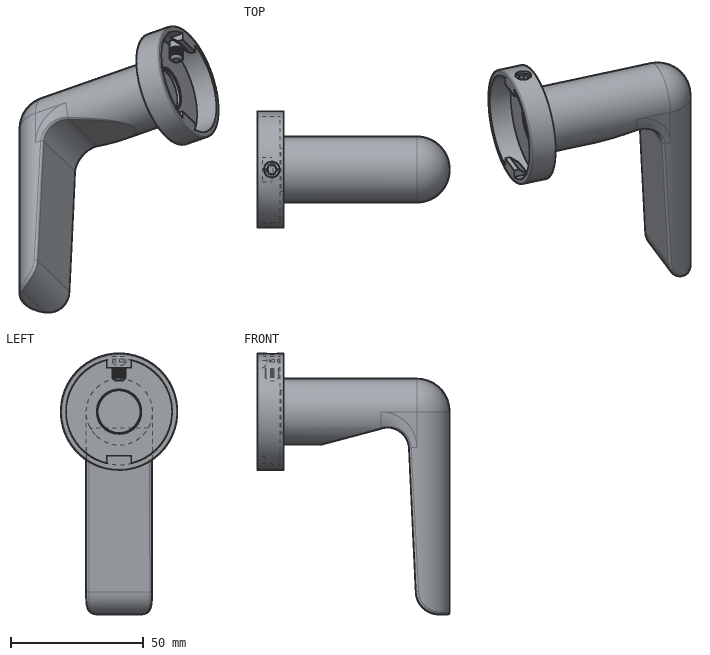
import cadquery as cq
import math

overall_length = 72.5
overall_height = 98.4
flange_diameter = 44.0
flange_thickness = 10.0
flange_edge_radius = 0.4
recess_diameter = 39.9
recess_depth = 8.5
bore_diameter = 16.0
bore_depth = 1.5
bore_chamfer = 0.4
bar_diameter = 25.0

lug_width = 9.2
lug_inner_height = 16.5
lug_tip_length = 2.0
lug_root_length = 5.9

screw_diameter = 5.2
screw_position = 5.5
screw_tip_height = 11.7
screw_tip_chamfer = 1.2
screw_recess = 1.2
thread_pitch = 0.6
thread_depth = 0.3
screw_seat_diameter = 5.9
socket_across_corners = 3.9
socket_depth = 2.0

taper_start = 24.0
blend_start = 46.5
blend_start_height = -6.5
underarm_top = (50.0, -6.1)
toe_start = (59.6, -67.7)
toe_end = 68.8
lever_edge_radius = 1.0

flange_radius = flange_diameter / 2
bar_radius = bar_diameter / 2
leg_axis = overall_length - bar_radius
bend_radius = leg_axis - blend_start
leg_start = (57.1, -bend_radius)
lever_bottom = flange_radius - overall_height
embed = 1.0


def x_cylinder(diameter, start, length):
    return cq.Workplane("YZ", origin=(start, 0, 0)).circle(diameter / 2).extrude(length)


def z_cylinder(diameter, x, bottom, top):
    return cq.Workplane("XY", origin=(x, 0, bottom)).circle(diameter / 2).extrude(top - bottom)


def make_corner_blend():
    return (
        cq.Workplane("YZ", origin=(blend_start, 0, 0))
        .moveTo(-bar_radius, 0)
        .threePointArc((0, -bar_radius), (bar_radius, 0))
        .lineTo(bar_radius, bend_radius)
        .lineTo(-bar_radius, bend_radius)
        .close()
        .revolve(90, (0, -bend_radius, 0), (1, -bend_radius, 0))
    )


def make_lever():
    start = flange_thickness - embed
    lever = x_cylinder(bar_diameter, start, leg_axis - start)
    lever = lever.union(cq.Workplane("XY").sphere(bar_radius).translate((leg_axis, 0, 0)))
    lever = lever.union(z_cylinder(bar_diameter, leg_axis, lever_bottom, 0))

    corner = cq.Workplane("XY").box(bend_radius, bar_diameter, bend_radius)
    corner = corner.translate((leg_axis - bend_radius / 2, 0, -bend_radius / 2))
    lever = lever.cut(corner).union(make_corner_blend().intersect(corner))

    toe_x = toe_end - toe_start[0]
    toe_z = toe_start[1] - lever_bottom
    toe_middle = (
        toe_end - toe_x * math.sqrt(0.5),
        toe_start[1] - toe_z * math.sqrt(0.5),
    )
    outline = (
        cq.Workplane("XZ")
        .moveTo(start, bar_radius)
        .lineTo(start, -bar_radius)
        .lineTo(taper_start, -bar_radius)
        .lineTo(blend_start, blend_start_height)
        .threePointArc(underarm_top, leg_start)
        .lineTo(*toe_start)
        .threePointArc(toe_middle, (toe_end, lever_bottom))
        .lineTo(overall_length, lever_bottom)
        .lineTo(overall_length, bar_radius)
        .close()
        .extrude(bar_radius, both=True)
    )
    lever = lever.intersect(outline)

    rounded_zone = cq.selectors.BoxSelector(
        (blend_start, -bar_radius, lever_bottom - embed),
        (overall_length + embed, bar_radius, blend_start_height / 2),
    )
    return lever.edges(rounded_zone).edges("not |Y").fillet(lever_edge_radius)


def make_flange():
    flange = x_cylinder(flange_diameter, 0, flange_thickness).edges().fillet(flange_edge_radius)
    return flange.cut(x_cylinder(recess_diameter, 0, recess_depth))


def make_lugs():
    recess_radius = recess_diameter / 2
    profile = [
        (0, lug_inner_height),
        (lug_tip_length, lug_inner_height),
        (lug_root_length, recess_radius),
        (lug_root_length, recess_radius + embed),
        (0, recess_radius + embed),
    ]
    lug = cq.Workplane("XZ").polyline(profile).close().extrude(lug_width / 2, both=True)
    lugs = lug.union(lug.mirror("XY"))
    return lugs.intersect(x_cylinder(recess_diameter + embed, 0, recess_depth))


def make_screw():
    radius = screw_diameter / 2
    root_radius = radius - thread_depth
    top = flange_radius - screw_recess
    thread_start = screw_tip_height + screw_tip_chamfer
    ring_count = math.floor((lug_inner_height - thread_start) / thread_pitch)
    section = [
        (0, screw_tip_height),
        (radius - screw_tip_chamfer, screw_tip_height),
        (radius, thread_start),
    ]
    for ring in range(ring_count):
        ring_start = thread_start + ring * thread_pitch
        section.append((root_radius, ring_start + thread_pitch / 2))
        section.append((radius, ring_start + thread_pitch))
    section += [(radius, top), (0, top)]
    screw = cq.Workplane("XZ").polyline(section).close().revolve(360, (0, 0), (0, 1))
    socket = (
        cq.Workplane("XY", origin=(0, 0, top - socket_depth))
        .polygon(6, socket_across_corners)
        .extrude(socket_depth)
    )
    return screw.cut(socket).translate((screw_position, 0, 0))


def make_bore():
    mouth = (
        cq.Workplane("YZ", origin=(recess_depth, 0, 0))
        .circle(bore_diameter / 2 + bore_chamfer)
        .workplane(offset=bore_chamfer)
        .circle(bore_diameter / 2)
        .loft()
    )
    return x_cylinder(bore_diameter, recess_depth, bore_depth).union(mouth)


def make_screw_hole():
    seat_bottom = flange_radius - screw_recess
    seat = z_cylinder(screw_seat_diameter, screw_position, seat_bottom, flange_radius)
    return seat.union(z_cylinder(screw_diameter, screw_position, seat_bottom - socket_depth, seat_bottom))


body = make_flange().union(make_lever()).union(make_lugs())
result = body.cut(make_bore()).cut(make_screw_hole()).union(make_screw())